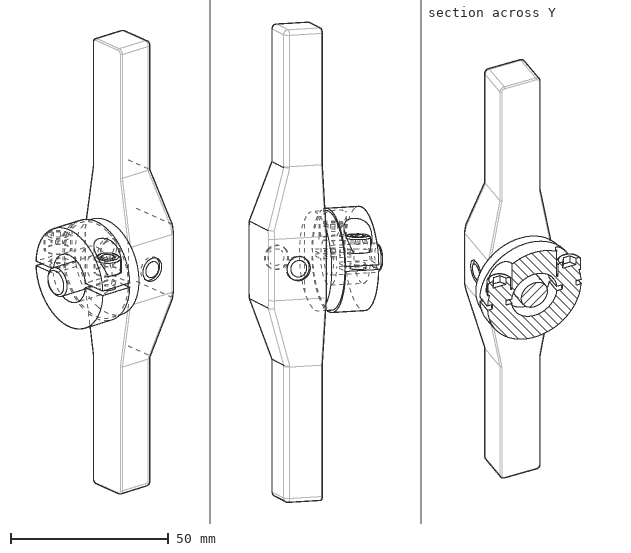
import cadquery as cq
import math

HANDLE_LENGTH = 152.4
ARM_WIDTH = 14.2
ARM_DEPTH = 12.6
BLOCK_WIDTH = 22.3
BLOCK_DEPTH = 19.0
SIDE_TAPER_START = 9.9
SIDE_TAPER_END = 32.3
BACK_TAPER_START = 12.5
BACK_TAPER_END = 31.9
EDGE_RADIUS = 1.5
FRONT_EDGE_RADIUS = 0.5

TOLERANCE = 0.02

CROSS_PIN_DIAMETER = 7.8
CROSS_PIN_TIP_DIAMETER = 5.3
CROSS_PIN_CHAMFER = 1.0
CROSS_PIN_Y = 9.5

HUB_DIAMETER = 31.7
HUB_LENGTH = 4.4
STUD_DIAMETER = 9.5
STUD_LENGTH = 21.2
STUD_CHAMFER = 0.8

COLLAR_DIAMETER = 33.2
COLLAR_BORE = 15.8
COLLAR_WIDTH = 11.1
COLLAR_GAP = 1.5

SCREW_X = 12.3
HEAD_POCKET_DIAMETER = 8.8
HEAD_SEAT_Z = 4.7
HEAD_DIAMETER = 8.1
HEAD_HEIGHT = 5.0
HEAD_CHAMFER = 0.6
SHANK_DIAMETER = 5.0
HEX_SIDES = 6
HEX_ACROSS_FLATS = 4.0
HEX_DEPTH = 2.5

COLLAR_BACK_Y = -HUB_LENGTH
COLLAR_MID_Y = COLLAR_BACK_Y - COLLAR_WIDTH / 2


def front_cylinder(diameter, start_y, length):
    """Cylinder on the Y axis that runs from start_y toward -Y."""
    plane = cq.Workplane("XZ", origin=(0, start_y, 0))
    return plane.circle(diameter / 2).extrude(length)


def mirrored_outline(upper_half):
    """Full outline, in order, from the points (offset, z) of its upper half."""
    lower_half = [(offset, -z) for offset, z in reversed(upper_half)]
    return upper_half + lower_half


def handle_bar():
    """Bar whose width and depth both taper from the middle block to the arms."""
    half_length = HANDLE_LENGTH / 2
    half_arm = ARM_WIDTH / 2
    half_block = BLOCK_WIDTH / 2

    right_edge = mirrored_outline(
        [(half_arm, half_length), (half_arm, SIDE_TAPER_END), (half_block, SIDE_TAPER_START)]
    )
    left_edge = [(-x, z) for x, z in reversed(right_edge)]
    width_prism = cq.Workplane("XZ").polyline(right_edge + left_edge).close().extrude(-BLOCK_DEPTH)

    depth_outline = mirrored_outline(
        [
            (0, half_length),
            (ARM_DEPTH, half_length),
            (ARM_DEPTH, BACK_TAPER_END),
            (BLOCK_DEPTH, BACK_TAPER_START),
        ]
    )
    depth_prism = cq.Workplane("YZ").polyline(depth_outline).close().extrude(half_block, both=True)

    bar = width_prism.intersect(depth_prism)

    return round_edges(bar)


def round_edges(bar):
    """Round the long back edges and the tips, then break the front outline."""
    rounded = [edge for edge in bar.edges().vals() if is_rounded(edge)]
    bar = bar.newObject(rounded).fillet(EDGE_RADIUS)
    return bar.faces("<Y").edges().fillet(FRONT_EDGE_RADIUS)


def is_rounded(edge):
    """True for the long back edges and the tip edges behind the front face."""
    center = edge.Center()
    at_tip = abs(center.z) > HANDLE_LENGTH / 2 - TOLERANCE
    on_side = abs(center.x) > TOLERANCE
    at_front = center.y < TOLERANCE
    at_back = center.y > BLOCK_DEPTH / 2 + TOLERANCE
    return (at_tip and not at_front) or (on_side and at_back)


def cross_pin_groove(side):
    """Cutter for the ring around the cross pin: straight outer wall, conical pin edge."""
    face_x = side * BLOCK_WIDTH / 2
    recess = cq.Workplane("YZ", origin=(face_x, CROSS_PIN_Y, 0))
    recess = recess.circle(CROSS_PIN_DIAMETER / 2).extrude(-side * CROSS_PIN_CHAMFER)
    pin_end = cq.Solid.makeCone(
        CROSS_PIN_DIAMETER / 2,
        CROSS_PIN_TIP_DIAMETER / 2,
        CROSS_PIN_CHAMFER,
        pnt=cq.Vector(face_x - side * CROSS_PIN_CHAMFER, CROSS_PIN_Y, 0),
        dir=cq.Vector(side, 0, 0),
    )
    return recess.cut(cq.Workplane(pin_end))


def make_handle():
    hub = front_cylinder(HUB_DIAMETER, 0, HUB_LENGTH)
    stud = front_cylinder(STUD_DIAMETER, 0, STUD_LENGTH).faces("<Y").chamfer(STUD_CHAMFER)
    handle = handle_bar().union(hub).union(stud)
    for side in (-1, 1):
        handle = handle.cut(cross_pin_groove(side))
    return handle


def upright_cylinder(diameter, x, bottom_z, height):
    """Cylinder parallel to Z, centered on the collar width."""
    return cq.Workplane("XY", origin=(x, COLLAR_MID_Y, bottom_z)).circle(diameter / 2).extrude(height)


def clamp_screw(x):
    """Socket head screw; its shank bridges the gap and ends inside the lower half."""
    head = upright_cylinder(HEAD_DIAMETER, x, HEAD_SEAT_Z, HEAD_HEIGHT)
    head = head.faces(">Z").edges().chamfer(HEAD_CHAMFER)
    hex_corners = HEX_ACROSS_FLATS / math.cos(math.pi / HEX_SIDES)
    head = head.faces(">Z").workplane().polygon(HEX_SIDES, hex_corners).cutBlind(-HEX_DEPTH)
    shank = upright_cylinder(SHANK_DIAMETER, x, -HEAD_SEAT_Z, 2 * HEAD_SEAT_Z)
    return head.union(shank)


def make_collar():
    """Two collar halves held as one solid by the two screws across the gap."""
    ring = front_cylinder(COLLAR_DIAMETER, COLLAR_BACK_Y, COLLAR_WIDTH)
    ring = ring.cut(front_cylinder(COLLAR_BORE, COLLAR_BACK_Y, COLLAR_WIDTH))
    gap = cq.Workplane("XY", origin=(0, COLLAR_MID_Y, 0))
    gap = gap.box(COLLAR_DIAMETER, COLLAR_WIDTH, COLLAR_GAP)
    collar = ring.cut(gap)
    for x in (-SCREW_X, SCREW_X):
        pocket = upright_cylinder(HEAD_POCKET_DIAMETER, x, HEAD_SEAT_Z, COLLAR_DIAMETER / 2)
        collar = collar.cut(pocket).union(clamp_screw(x))
    return collar


handle = make_handle()
collar = make_collar()
result = cq.Compound.makeCompound([handle.val(), collar.val()])